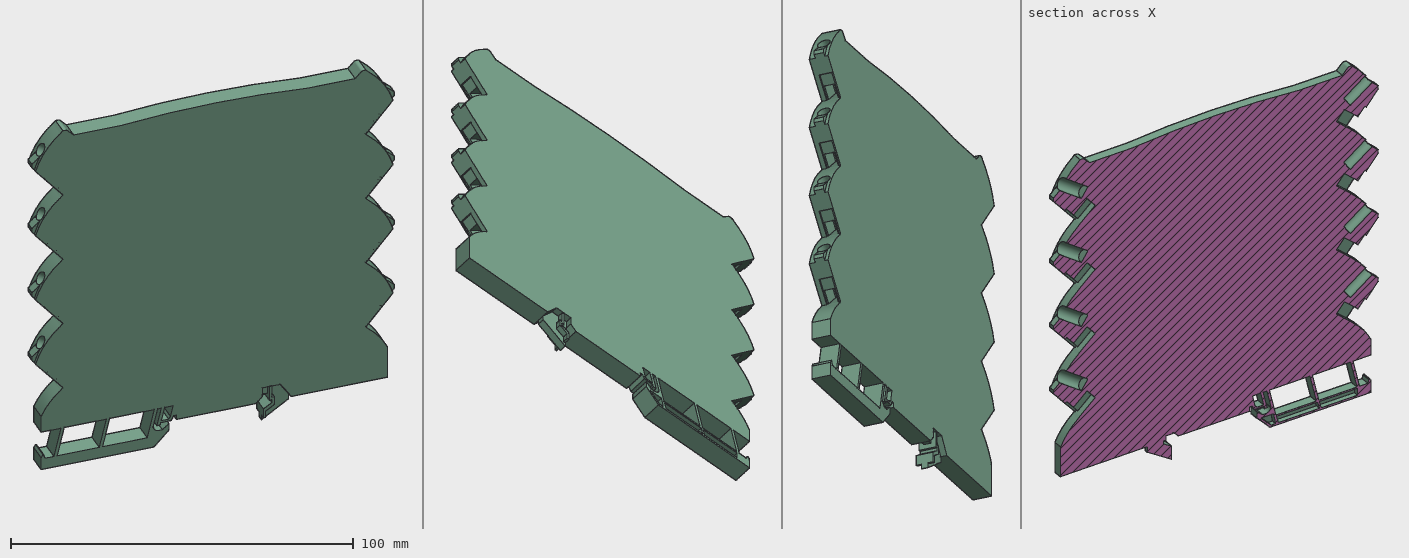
import cadquery as cq
import math


THICKNESS = 6.1
HEIGHT = 115.0
OVERALL_WIDTH = 113.0
HALF_X = THICKNESS / 2

TOOTH_COUNT = 4
TOOTH_PITCH = 22.1
VALLEY_Y = 47.3
BEVEL = 0.8
FLANK_Y, FLANK_DROP = 52.8, 6.0
TIP_Y = 55.8
TIP_DROP = 12.2

LOBE_FLAT_Y = 46.5
LOBE_ROUND = 0.9
SHOULDER_Z = 112.8
CROWN_HALF_WIDTH = 29.1
CROWN_Z = 114.1

SIDE_Y = 54.0
BASE_FLANK_Y, BASE_FLANK_DROP = 52.0, 5.0
SIDE_TOP_Z = 18.3
BASE_Z = 7.9
RAISED_BASE_Z = 12.9

TERMINAL_X = 0.5
SCREW_DIAMETER = 3.9
SCREW_Y, SCREW_DROP = 53.2, 6.7
SCREW_DEPTH = 9.2
SCREW_TILT_DEGREES = 35.0
TAB_WIDTH = 3.1
TAB_TIP_Y = OVERALL_WIDTH / 2
TAB_ROOT_Y, TAB_ROOT_DROP = 53.6, 7.6
TAB_TOP_DROP = 10.1
TAB_LOW_DROP = TIP_DROP - (TAB_TIP_Y - TIP_Y) * (TOOTH_PITCH - TIP_DROP) / (TIP_Y - VALLEY_Y)
RECESS_X = 0.6
RECESS_WIDTH = 4.1
RECESS_START = 0.4
RECESS_DEPTH = 0.7
WIRE_HOLE_START = 0.68
WIRE_HOLE_WIDTH = 3.1
WIRE_HOLE_DEPTH = 6.9

HOOK_WEB_HALF_X = 1.09
HOOK_LIP_HALF_X = 2.8
HOOK_LIP_LOW_Z = 2.3

RIB_SLANT = 0.24
RIB_WIDTH = 1.0
FOOT_TOP_Z = 3.7
FOOT_RIB_TOPS = (-17.7, -32.7, -46.8)
LATCH_RIB_TOP = -15.5
LATCH_RIB_LOW_Z = 7.1
POCKET_TOP_Z = 3.0
POCKET_LOW_Z = 0.8
POCKET_DEPTH = 4.6


def plate(points, x_start=-HALF_X, x_end=HALF_X):
    """Extrude a closed YZ polygon between two X positions."""
    return cq.Workplane("YZ", origin=(x_start, 0, 0)).polyline(points).close().extrude(x_end - x_start)


def valley_z(index):
    """Height of the valley above tooth number index; tooth 0 sits at the top."""
    return HEIGHT - index * TOOTH_PITCH


def body():
    """Housing outline, drawn for the +Y half from the crown down to the base and mirrored."""
    last_valley = valley_z(TOOTH_COUNT)
    lobe_center_z = HEIGHT - LOBE_ROUND
    arc_mid_angle = math.radians(112.5)
    arc_end_angle = math.radians(135.0)
    lobe_mid = (
        LOBE_FLAT_Y + LOBE_ROUND * math.cos(arc_mid_angle),
        lobe_center_z + LOBE_ROUND * math.sin(arc_mid_angle),
    )
    slope_top_y = LOBE_FLAT_Y + LOBE_ROUND * math.cos(arc_end_angle)
    slope_top_z = lobe_center_z + LOBE_ROUND * math.sin(arc_end_angle)
    lobe_foot_y = slope_top_y - (slope_top_z - SHOULDER_Z)
    crown_sag = CROWN_Z - SHOULDER_Z
    crown_radius = (CROWN_HALF_WIDTH ** 2 + crown_sag ** 2) / (2 * crown_sag)
    crown_mid_y = CROWN_HALF_WIDTH / 2
    crown_mid_z = CROWN_Z - crown_radius + math.sqrt(crown_radius ** 2 - crown_mid_y ** 2)

    half = (
        cq.Workplane("YZ", origin=(-HALF_X, 0, 0))
        .moveTo(0, CROWN_Z)
        .threePointArc((crown_mid_y, crown_mid_z), (CROWN_HALF_WIDTH, SHOULDER_Z))
        .lineTo(lobe_foot_y, SHOULDER_Z)
        .lineTo(slope_top_y, slope_top_z)
        .threePointArc(lobe_mid, (LOBE_FLAT_Y, HEIGHT))
        .lineTo(VALLEY_Y, HEIGHT)
    )
    for index in range(TOOTH_COUNT):
        z = valley_z(index)
        half = (
            half.lineTo(VALLEY_Y + BEVEL, z - BEVEL)
            .threePointArc((FLANK_Y, z - FLANK_DROP), (TIP_Y, z - TIP_DROP))
            .lineTo(VALLEY_Y, z - TOOTH_PITCH)
        )
    half = (
        half.lineTo(VALLEY_Y + BEVEL, last_valley - BEVEL)
        .threePointArc((BASE_FLANK_Y, last_valley - BASE_FLANK_DROP), (SIDE_Y, SIDE_TOP_Z))
        .lineTo(SIDE_Y, BASE_Z)
        .lineTo(0, BASE_Z)
        .close()
        .extrude(THICKNESS)
    )
    return half.union(half.mirror("XZ"))


def base_cutouts():
    """Notch around the rail hook and the raised base above the rail foot."""
    hook_notch = plate([
        (23.9, BASE_Z), (20.5, RAISED_BASE_Z), (15.0, RAISED_BASE_Z), (15.0, 9.9), (13.0, BASE_Z),
        (13.0, 0), (23.9, 0),
    ])
    foot_space = plate([
        (-11.8, 0), (-11.8, 9.4), (-12.6, 9.4), (-13.5, BASE_Z), (-17.0, BASE_Z), (-17.0, 8.6),
        (-14.3, 8.6), (-13.7, 9.4), (-12.9, RAISED_BASE_Z), (-SIDE_Y, RAISED_BASE_Z), (-SIDE_Y, 0),
    ])
    return hook_notch.union(foot_space)


def rail_hook():
    """Rail hook: a central web with a wider lip along its catching edge, and a stop block."""
    catch_edge = [(17.2, RAISED_BASE_Z), (17.2, BASE_Z), (18.0, BASE_Z), (18.0, 7.0), (15.4, 5.4)]
    lip_end = [(15.4, HOOK_LIP_LOW_Z), (16.1, HOOK_LIP_LOW_Z)]
    lip_inner = [(16.1, 4.5), (18.9, 6.2), (18.9, 8.9), (18.0, 8.9), (18.0, RAISED_BASE_Z)]
    web_back = [(15.4, 0.7), (23.9, 6.1), (23.9, BASE_Z), (20.5, RAISED_BASE_Z)]
    stop_block = [(17.2, RAISED_BASE_Z), (15.0, RAISED_BASE_Z), (15.0, 9.4), (17.2, 9.4)]

    web = plate(catch_edge + web_back, -HOOK_WEB_HALF_X, HOOK_WEB_HALF_X)
    lip = plate(catch_edge + lip_end + lip_inner, -HOOK_LIP_HALF_X, HOOK_LIP_HALF_X)
    stop = plate(stop_block, -HOOK_WEB_HALF_X, HOOK_WEB_HALF_X)
    return web.union(lip).union(stop)


def rib(top_y, low_z):
    """Slanted rib hanging from the raised base, leaning towards -Y as it goes down."""
    shift = RIB_SLANT * (RAISED_BASE_Z - low_z)
    return plate([
        (top_y, RAISED_BASE_Z), (top_y - RIB_WIDTH, RAISED_BASE_Z),
        (top_y - RIB_WIDTH - shift, low_z), (top_y - shift, low_z),
    ])


def rail_foot():
    """Foot bar with its cupped nose, end nub, ribs and side pockets."""
    foot = (
        cq.Workplane("YZ", origin=(-HALF_X, 0, 0))
        .moveTo(-18.9, 0)
        .lineTo(-14.1, 4.8)
        .lineTo(-14.1, 7.1)
        .lineTo(-16.2, 5.4)
        .lineTo(-17.4, 5.4)
        .threePointArc((-18.5, 5.9), (-19.0, 6.9))
        .lineTo(-19.5, 6.9)
        .lineTo(-20.1, FOOT_TOP_Z)
        .lineTo(-52.8, FOOT_TOP_Z)
        .lineTo(-53.1, 4.8)
        .lineTo(-53.5, 5.1)
        .lineTo(-SIDE_Y, 4.1)
        .lineTo(-SIDE_Y, 0)
        .close()
        .extrude(THICKNESS)
    )
    for top_y in FOOT_RIB_TOPS:
        foot = foot.union(rib(top_y, FOOT_TOP_Z))
    foot = foot.union(rib(LATCH_RIB_TOP, LATCH_RIB_LOW_Z))

    pockets = (
        [(-21.2, POCKET_TOP_Z), (-35.3, POCKET_TOP_Z), (-36.0, POCKET_LOW_Z), (-21.8, POCKET_LOW_Z)],
        [(-36.1, POCKET_TOP_Z), (-49.2, POCKET_TOP_Z), (-49.2, POCKET_LOW_Z), (-36.7, POCKET_LOW_Z)],
        [(-15.8, 4.3), (-20.0, 4.3), (-20.7, POCKET_LOW_Z), (-19.2, POCKET_LOW_Z)],
    )
    for outline in pockets:
        foot = foot.cut(plate(outline, -HALF_X, -HALF_X + POCKET_DEPTH))
    return foot


def under_face_point(fraction, z):
    """Point on a tooth's under face; fraction 0 is the tip, 1 is the valley below."""
    drop = TIP_DROP + fraction * (TOOTH_PITCH - TIP_DROP)
    return TIP_Y + fraction * (VALLEY_Y - TIP_Y), z - drop


def under_face_pocket(z, start, depth, x_center, width):
    """Rectangular pocket square to the under face, from a fraction along it down to the valley."""
    run_y = TIP_Y - VALLEY_Y
    run_z = TOOTH_PITCH - TIP_DROP
    length = math.hypot(run_y, run_z)
    in_y = -depth * run_z / length
    in_z = depth * run_y / length
    y_start, z_start = under_face_point(start, z)
    y_end, z_end = under_face_point(1, z)
    outline = [
        (y_start, z_start), (y_end, z_end),
        (y_end + in_y, z_end + in_z), (y_start + in_y, z_start + in_z),
    ]
    return plate(outline, x_center - width / 2, x_center + width / 2)


def terminal_tab(z):
    """Small tab standing out of the tooth tip, flush with the under face."""
    outline = [
        (TAB_ROOT_Y, z - TAB_ROOT_DROP), (TAB_TIP_Y, z - TAB_TOP_DROP), (TAB_TIP_Y, z - TAB_LOW_DROP),
        (TIP_Y, z - TIP_DROP), (TAB_ROOT_Y, z - TIP_DROP),
    ]
    return plate(outline, TERMINAL_X - TAB_WIDTH / 2, TERMINAL_X + TAB_WIDTH / 2)


def terminal_cuts(z):
    """Tilted screw hole in the flank, and the stepped wire entry in the under face."""
    tilt = math.radians(SCREW_TILT_DEGREES)
    outward = cq.Vector(0, math.cos(tilt), math.sin(tilt))
    mouth = cq.Vector(TERMINAL_X, SCREW_Y, z - SCREW_DROP)
    clearance = 2.3
    screw_hole = cq.Workplane(obj=cq.Solid.makeCylinder(
        SCREW_DIAMETER / 2, SCREW_DEPTH + clearance, mouth + outward * clearance, outward * -1
    ))
    recess = under_face_pocket(z, RECESS_START, RECESS_DEPTH, RECESS_X, RECESS_WIDTH)
    wire_hole = under_face_pocket(z, WIRE_HOLE_START, WIRE_HOLE_DEPTH, TERMINAL_X, WIRE_HOLE_WIDTH)
    return screw_hole.union(recess).union(wire_hole)


result = body().cut(base_cutouts()).union(rail_hook()).union(rail_foot())
for tooth in range(TOOTH_COUNT):
    tab = terminal_tab(valley_z(tooth))
    cuts = terminal_cuts(valley_z(tooth))
    result = result.union(tab).union(tab.mirror("XZ"))
    result = result.cut(cuts).cut(cuts.mirror("XZ"))